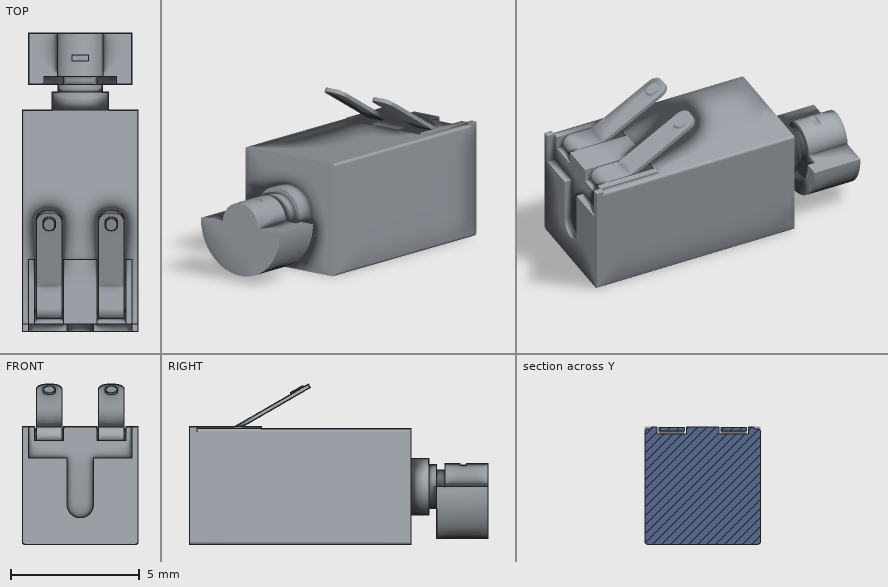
import cadquery as cq
import math


total_length = 11.6
total_height = 6.23
case_side = 4.5
case_half = case_side / 2
case_edge_radius = 0.12

weight_length = 2.0
neck_length = 0.3
neck_radius = 0.86
collar_length = 0.7
collar_radius = 1.1
case_length = total_length - weight_length - neck_length - collar_length

weight_radius = 2.01
hub_radius = 0.89
weight_recess_depth = 0.31
weight_recess_radius = 1.42
shaft_radius = 0.65
hub_notch_from_end = 0.85
hub_notch_length = 0.24
hub_notch_depth = 0.06

insert_top = case_half + 0.08
insert_width = 4.01
insert_end = 2.8
plate_thickness = 0.3
window_bar_depth = 1.23
window_stem_width = 1.02
window_stem_depth = 3.54

terminal_spacing = 2.41
terminal_width = 1.0
sheet_thickness = 0.15
pocket_width = 1.13
pocket_depth = 0.53
pocket_floor = insert_top - pocket_depth
terminal_front = 0.52
terminal_flat_top = 2.32
terminal_flat_end = 1.7
front_bend_radius = 0.37
fold_inner_radius = 0.15
lever_angle = math.radians(30)
lever_tip_height = total_height - case_half
lever_tip_radius = 0.4
contact_width = 0.5
contact_length = 0.61
contact_height = 0.06
contact_bevel = 0.03
contact_from_tip = 0.5

ledge_front = 0.77
ledge_top = terminal_flat_top - sheet_thickness
ledge_radius = front_bend_radius - sheet_thickness


def block(width, y_start, y_end, z_bottom, z_top):
    """Box centred on x = 0."""
    box = cq.Workplane("XY").box(width, y_end - y_start, z_top - z_bottom, centered=(True, False, False))
    return box.translate((0, y_start, z_bottom))


def disc(radius, y_start, length):
    """Cylinder on the shaft axis, running toward +Y."""
    return cq.Workplane("XZ", origin=(0, y_start, 0)).circle(radius).extrude(-length)


def make_case():
    can = block(case_side, 0, case_length, -case_half, case_half)
    can = can.edges("|Y").fillet(case_edge_radius)
    end_plate = block(case_side, 0, plate_thickness, 0, insert_top)
    insert = block(insert_width, 0, insert_end, 0, insert_top)
    return can.union(end_plate).union(insert)


def make_window():
    """T-shaped opening through the end plate, its stem closed by a full round."""
    bar = block(insert_width, 0, plate_thickness, insert_top - window_bar_depth, insert_top)
    stem_radius = window_stem_width / 2
    stem_round_z = insert_top - window_stem_depth + stem_radius
    stem = block(window_stem_width, 0, plate_thickness, stem_round_z, insert_top)
    stem_round = disc(stem_radius, 0, plate_thickness).translate((0, 0, stem_round_z))
    return bar.union(stem).union(stem_round)


def make_terminal():
    """Bent sheet strip: upright foot, rounded bend, flat, then a lever folded upward."""
    half_sheet = sheet_thickness / 2
    foot_y = terminal_front + half_sheet
    flat_z = terminal_flat_top - half_sheet
    bend_radius = front_bend_radius - half_sheet
    bend_z = flat_z - bend_radius
    fold_radius = fold_inner_radius + half_sheet
    fold_y = terminal_flat_end + fold_radius * math.sin(lever_angle)
    fold_z = flat_z + fold_radius * (1 - math.cos(lever_angle))

    path = (
        cq.Workplane("YZ")
        .moveTo(foot_y, pocket_floor)
        .lineTo(foot_y, bend_z)
        .tangentArcPoint((foot_y + bend_radius, flat_z), relative=False)
        .lineTo(terminal_flat_end, flat_z)
        .tangentArcPoint((fold_y, fold_z), relative=False)
    )
    foot_section = cq.Workplane("XY", origin=(0, foot_y, pocket_floor)).rect(terminal_width, sheet_thickness)
    strip = foot_section.sweep(path)

    along = (0, math.cos(lever_angle), math.sin(lever_angle))
    outward = (0, -math.sin(lever_angle), math.cos(lever_angle))
    lever_plane = cq.Plane(origin=(0, fold_y, fold_z), xDir=along, normal=outward)
    tip_mid_z = lever_tip_height - half_sheet * math.cos(lever_angle)
    lever_length = (tip_mid_z - fold_z) / math.sin(lever_angle)
    lever = (
        cq.Workplane(lever_plane)
        .box(lever_length, terminal_width, sheet_thickness, centered=(False, True, True))
        .edges(cq.selectors.ParallelDirSelector(cq.Vector(*outward)))
        .edges(">Y")
        .fillet(lever_tip_radius)
    )

    contact_centre = lever_length - contact_from_tip
    contact = (
        cq.Workplane(lever_plane)
        .workplane(offset=half_sheet)
        .center(contact_centre, 0)
        .slot2D(contact_length, contact_width)
        .extrude(contact_height, taper=math.degrees(math.atan2(contact_bevel, contact_height)))
    )
    return strip.union(lever).union(contact)


def make_pocket():
    """Recess for one terminal, deep at the front and shallow above the round-nosed ledge."""
    pocket = block(pocket_width, plate_thickness, insert_end, pocket_floor, insert_top)
    ledge = block(pocket_width, ledge_front, insert_end, pocket_floor, ledge_top)
    ledge = ledge.edges("|X and >Z and <Y").fillet(ledge_radius)
    return pocket.cut(ledge)


def make_weight():
    """Half disc below the axis with a hub, recessed around the shaft on its inner side."""
    inner_y = total_length - weight_length
    half_disc = disc(weight_radius, inner_y, weight_length).intersect(
        block(2 * weight_radius, inner_y, total_length, -weight_radius, 0)
    )
    weight = half_disc.union(disc(hub_radius, inner_y, weight_length))
    weight = weight.cut(disc(weight_recess_radius, inner_y, weight_recess_depth))
    weight = weight.union(disc(shaft_radius, inner_y, weight_recess_depth))
    notch_end = total_length - hub_notch_from_end
    notch = block(
        2 * hub_radius, notch_end - hub_notch_length, notch_end, hub_radius - hub_notch_depth, hub_radius
    )
    return weight.cut(notch)


pocket = make_pocket()
terminal = make_terminal()

result = make_case().cut(make_window())
for side in (-1, 1):
    offset = (side * terminal_spacing / 2, 0, 0)
    result = result.cut(pocket.translate(offset)).union(terminal.translate(offset))

result = result.union(disc(collar_radius, case_length, collar_length))
result = result.union(disc(neck_radius, case_length + collar_length, neck_length))
result = result.union(make_weight())